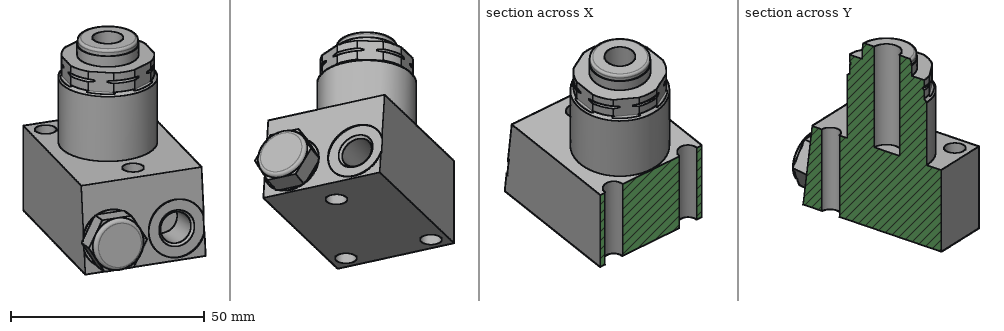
import cadquery as cq
import math

block_top_length = 41.55
block_width = 33.4
block_height = 23.95
face_tilt = 7.0
face_run = block_height * math.tan(math.radians(face_tilt))

mount_hole_radius = 2.8
left_hole_x = 4.5
left_hole_y = 12.2
right_hole_x = 35.55

sleeve_x = 17.5
sleeve_radius = 12.85
sleeve_top = 43.05
sleeve_chamfer = 0.85
collar_radius = 12.05
collar_flat_distance = 11.55
collar_top = 48.5
collar_flat_count = 6
flat_relief = 0.35
groove_height = 45.95
groove_radius = 0.35
plug_radius = 8.0
plug_step_height = 51.5
cap_radius = 7.85
cap_fillet = 0.75
total_height = 53.3
bore_radius = 4.0

port_height = 8.5
port_offset = 9.15
spotface_radius = 7.85
spotface_depth = 0.3
port_radius = 4.9
port_depth = 10.65
port_chamfer = 0.7
nut_across_corners = 16.15
nut_length = 5.0
nut_cap_length = 1.2
nut_cap_radius = nut_across_corners / 2 * math.cos(math.radians(30))
nut_cap_fillet = 1.05


def disc(radius, bottom, top):
    """Vertical cylinder on the sleeve axis."""
    return cq.Workplane("XY", origin=(sleeve_x, 0, bottom)).circle(radius).extrude(top - bottom)


def tilted_plane(y):
    """Workplane on the tilted face, with its normal pointing out of the block."""
    angle = math.radians(face_tilt)
    x = block_top_length + (block_height - port_height) * math.tan(angle)
    return cq.Workplane(cq.Plane(
        origin=(x, y, port_height),
        xDir=(0, 1, 0),
        normal=(math.cos(angle), 0, math.sin(angle)),
    ))


def make_block():
    block = (
        cq.Workplane("XZ")
        .polyline([
            (0, 0),
            (block_top_length + face_run, 0),
            (block_top_length, block_height),
            (0, block_height),
        ])
        .close()
        .extrude(block_width / 2, both=True)
    )
    hole_places = [(left_hole_x, -left_hole_y), (left_hole_x, left_hole_y), (right_hole_x, 0)]
    holes = cq.Workplane("XY").pushPoints(hole_places).circle(mount_hole_radius).extrude(block_height)
    return block.cut(holes)


def cut_collar_flats(body):
    flat_bottom = sleeve_top - flat_relief
    flat_height = collar_top - flat_bottom
    for index in range(collar_flat_count):
        angle = 30 + index * 360 / collar_flat_count
        foot_middle = (
            sleeve_x + collar_flat_distance * math.cos(math.radians(angle)),
            collar_flat_distance * math.sin(math.radians(angle)),
            flat_bottom,
        )
        cutter = (
            cq.Workplane("XY", origin=(sleeve_x, 0, flat_bottom))
            .transformed(rotate=(0, 0, angle))
            .center(collar_flat_distance + sleeve_radius / 2, 0)
            .rect(sleeve_radius, 2 * sleeve_radius)
            .extrude(flat_height)
            .edges(cq.selectors.NearestToPointSelector(foot_middle))
            .fillet(flat_relief)
        )
        body = body.cut(cutter)
    return body


def make_sleeve():
    sleeve = disc(sleeve_radius, block_height, sleeve_top).faces(">Z").chamfer(sleeve_chamfer)
    collar = disc(collar_radius, sleeve_top, collar_top)
    body = cut_collar_flats(sleeve.union(collar))
    groove = cq.Workplane(cq.Solid.makeTorus(
        collar_radius, groove_radius, cq.Vector(sleeve_x, 0, groove_height), cq.Vector(0, 0, 1)
    ))
    plug = disc(plug_radius, collar_top, plug_step_height)
    cap = disc(cap_radius, plug_step_height, total_height).faces(">Z").edges().fillet(cap_fillet)
    bore = disc(bore_radius, block_height, total_height)
    return body.cut(groove).union(plug).union(cap).cut(bore)


def make_spotface(y):
    return tilted_plane(y).circle(spotface_radius).extrude(-spotface_depth)


def make_port():
    floor = tilted_plane(port_offset).workplane(offset=-spotface_depth)
    bore = floor.circle(port_radius - port_chamfer).extrude(-port_depth)
    mouth = floor.circle(port_radius).extrude(-port_chamfer, taper=45)
    return bore.union(mouth)


def make_nut():
    hexagon = (
        tilted_plane(-port_offset)
        .workplane(offset=-spotface_depth)
        .polygon(6, nut_across_corners)
        .extrude(spotface_depth + nut_length)
    )
    cap = (
        tilted_plane(-port_offset)
        .workplane(offset=nut_length)
        .circle(nut_cap_radius)
        .extrude(nut_cap_length)
        .faces(">X")
        .edges()
        .fillet(nut_cap_fillet)
    )
    return hexagon.union(cap)


block = make_block()
for spotface_y in (-port_offset, port_offset):
    block = block.cut(make_spotface(spotface_y))
result = block.cut(make_port()).union(make_sleeve()).union(make_nut())